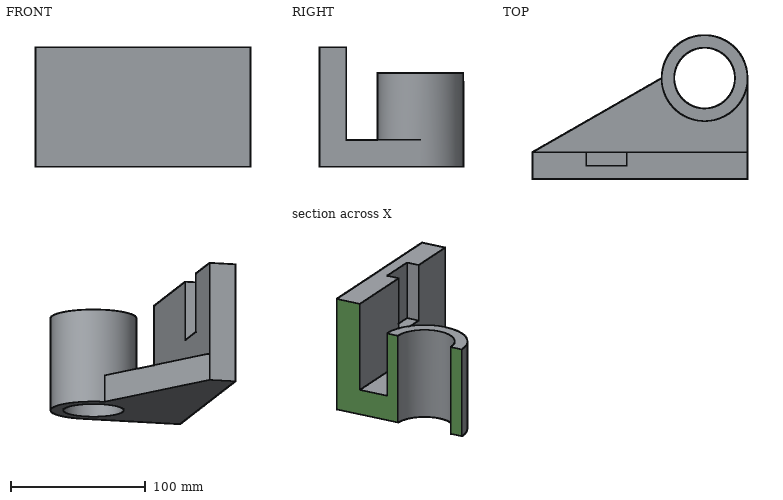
import cadquery as cq

plate_length = 160.0
plate_thickness = 20.0
plate_height = 89.0

notch_start = 40.0
notch_width = 30.0
notch_depth = plate_thickness / 2
notch_floor = plate_height / 2

tube_diameter = 64.0
bore_diameter = 45.0
tube_height = 70.0
overall_depth = 107.0
tube_radius = tube_diameter / 2
tube_x = plate_length - tube_radius
tube_y = overall_depth - tube_radius

web_thickness = 20.0


def make_plate():
    plate = cq.Workplane("XY").box(plate_length, plate_thickness, plate_height, centered=False)
    notch = (
        cq.Workplane("XY")
        .box(notch_width, notch_depth, plate_height - notch_floor, centered=False)
        .translate((notch_start, plate_thickness - notch_depth, notch_floor))
    )
    return plate.cut(notch)


def make_web():
    return (
        cq.Workplane("XY")
        .moveTo(0, plate_thickness)
        .lineTo(plate_length, plate_thickness)
        .lineTo(plate_length, tube_y)
        .lineTo(plate_length - tube_diameter, tube_y)
        .close()
        .extrude(web_thickness)
    )


def make_cylinder(diameter):
    return cq.Workplane("XY").center(tube_x, tube_y).circle(diameter / 2).extrude(tube_height)


body = make_plate().union(make_web()).union(make_cylinder(tube_diameter))
result = body.cut(make_cylinder(bore_diameter))